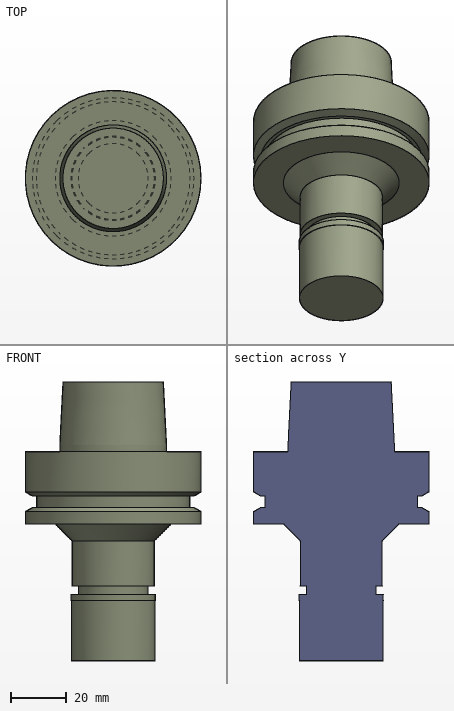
import cadquery as cq

total_height = 100.0

nut_diameter = 30.0
nut_collar_diameter = 30.3
neck_diameter = 25.0
shank_diameter = 29.5
cone_top_diameter = 41.5
flange_diameter = 63.0
groove_diameter = 55.0
taper_base_diameter = 38.3
taper_top_diameter = 36.0

nut_top = 21.6
collar_top = 23.8
neck_top = 26.8
cone_bottom = 43.0
flange_bottom = 49.0
flange_top = 75.0
taper_bottom = 77.2

lower_rim_height = 4.5
groove_bottom = 55.0
groove_top = 59.0
groove_chamfer_height = 1.5
groove_chamfer_depth = 2.6


def disc(diameter, bottom, top):
    """Cylinder on the Z axis between two heights."""
    return cq.Workplane("XY").workplane(offset=bottom).circle(diameter / 2).extrude(top - bottom)


def cone(bottom_diameter, top_diameter, bottom, top):
    """Truncated cone on the Z axis between two heights."""
    profile = [
        (0, bottom),
        (bottom_diameter / 2, bottom),
        (top_diameter / 2, top),
        (0, top),
    ]
    return cq.Workplane("XZ").polyline(profile).close().revolve(360, (0, 0, 0), (0, 1, 0))


chamfer_inner_diameter = flange_diameter - 2 * groove_chamfer_depth
lower_rim_top = flange_bottom + lower_rim_height
upper_rim_bottom = groove_top + groove_chamfer_height
flange = (
    disc(flange_diameter, flange_bottom, lower_rim_top)
    .union(cone(flange_diameter, chamfer_inner_diameter, lower_rim_top, groove_bottom))
    .union(disc(groove_diameter, groove_bottom, groove_top))
    .union(cone(chamfer_inner_diameter, flange_diameter, groove_top, upper_rim_bottom))
    .union(disc(flange_diameter, upper_rim_bottom, flange_top))
)

lower_body = (
    disc(nut_diameter, 0, nut_top)
    .union(disc(nut_collar_diameter, nut_top, collar_top))
    .union(disc(neck_diameter, collar_top, neck_top))
    .union(disc(shank_diameter, neck_top, cone_bottom))
    .union(cone(shank_diameter, cone_top_diameter, cone_bottom, flange_bottom))
)

spindle_taper = disc(taper_base_diameter, flange_top, taper_bottom).union(
    cone(taper_base_diameter, taper_top_diameter, taper_bottom, total_height)
)

result = lower_body.union(flange).union(spindle_taper)